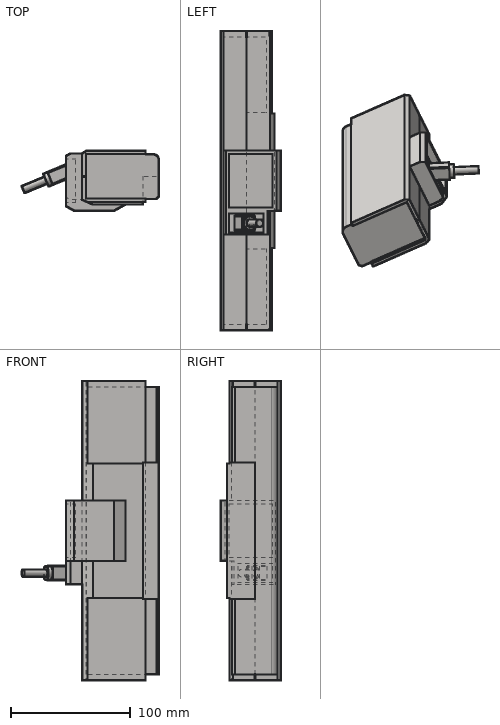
import cadquery as cq
import math


housing_height = 250.0
wall = 3.0
housing_back_y = 21.6
housing_front_y = -21.4
housing_open_x = 52.9
back_chamfer_x = 3.6
back_chamfer_y = 2.3
front_chamfer_start_y = -19.5
front_chamfer_slope = 0.45
seam_gap = 0.4

core_height = 240.0
core_end_x = 64.0
core_back_y = housing_back_y - wall
core_front_y = -19.0
core_back_radius = 5.0
core_front_chamfer = 2.2

panel_height = 112.4
panel_front_y = -23.5
panel_end_x = 50.6
notch_height = 114.0
notch_floor_y = 0.0

bracket_height = 50.5
bracket_x = -13.6
bracket_back_y = 19.3
bracket_front_y = -28.7
bracket_back_chamfer_x = 4.0
bracket_back_chamfer_y = 2.1
bracket_front_chamfer_x = 6.9
bracket_front_chamfer_y = 3.8
bracket_lip_x = 26.6
bracket_lip_foot_x = 36.1
window_back_y = 14.4
window_front_y = -21.8
window_height = 44.4
window_depth = 8.0

outlet_bottom_z = -44.9
outlet_front_y = -19.2
outlet_chamfer_x = 3.9
outlet_chamfer_y = 1.6
inlay_back_y = 14.4
inlay_front_y = -14.3
inlay_height = 15.9
inlay_depth = 0.3

cable_angle = 22.5
cable_z = -35.4
cable_exit_y = 3.8
plug_width = 11.6
plug_height = 12.6
plug_edge_chamfer = 0.8
plug_length = 14.3
plug_embed = 1.0
collar_diameter = 11.6
collar_length = 3.8
cable_diameter = 6.4
cable_tip_x = -50.6


def prism(points, bottom_z, top_z):
    """Extrude a closed XY outline between two heights."""
    return cq.Workplane("XY").workplane(offset=bottom_z).polyline(points).close().extrude(top_z - bottom_z)


def centred_prism(points, height):
    return prism(points, -height / 2, height / 2)


def box(x_range, y_range, z_range):
    (x0, x1), (y0, y1), (z0, z1) = x_range, y_range, z_range
    return prism([(x0, y0), (x1, y0), (x1, y1), (x0, y1)], z0, z1)


def front_chamfer_end_x(front_y):
    """X at which the sloping -X / -Y corner face reaches a given front face."""
    return (front_chamfer_start_y - front_y) / front_chamfer_slope


def make_core():
    core = box((wall, core_end_x), (core_front_y, core_back_y), (-core_height / 2, core_height / 2))
    core = core.edges("|Z and >X and >Y").fillet(core_back_radius)
    return core.edges("|Z and >X and <Y").chamfer(core_front_chamfer)


def make_housing():
    shell = centred_prism(
        [
            (0, front_chamfer_start_y),
            (front_chamfer_end_x(housing_front_y), housing_front_y),
            (housing_open_x, housing_front_y),
            (housing_open_x, housing_back_y),
            (back_chamfer_x, housing_back_y),
            (0, housing_back_y - back_chamfer_y),
        ],
        housing_height,
    )
    cavity = box(
        (wall, core_end_x),
        (housing_front_y + wall, core_back_y),
        (-housing_height / 2, housing_height / 2),
    )
    seam = box((0, wall), (-seam_gap / 2, seam_gap / 2), (-housing_height / 2, housing_height / 2))
    return shell.cut(cavity).cut(seam)


def make_panel():
    return centred_prism(
        [
            (0, front_chamfer_start_y),
            (front_chamfer_end_x(panel_front_y), panel_front_y),
            (panel_end_x, panel_front_y),
            (panel_end_x, front_chamfer_start_y),
        ],
        panel_height,
    )


def make_notch():
    return box((panel_end_x, core_end_x), (panel_front_y, notch_floor_y), (-notch_height / 2, notch_height / 2))


def make_bracket():
    bracket = centred_prism(
        [
            (0, bracket_back_y),
            (bracket_x + bracket_back_chamfer_x, bracket_back_y),
            (bracket_x, bracket_back_y - bracket_back_chamfer_y),
            (bracket_x, bracket_front_y + bracket_front_chamfer_y),
            (bracket_x + bracket_front_chamfer_x, bracket_front_y),
            (bracket_lip_x, bracket_front_y),
            (bracket_lip_foot_x, panel_front_y),
            (front_chamfer_end_x(panel_front_y), panel_front_y),
            (0, front_chamfer_start_y),
        ],
        bracket_height,
    )
    window = box(
        (bracket_x, bracket_x + window_depth),
        (window_front_y, window_back_y),
        (-window_height / 2, window_height / 2),
    )
    return bracket.cut(window)


def make_outlet():
    outlet = prism(
        [
            (0, bracket_back_y),
            (bracket_x + bracket_back_chamfer_x, bracket_back_y),
            (bracket_x, bracket_back_y - bracket_back_chamfer_y),
            (bracket_x, outlet_front_y + outlet_chamfer_y),
            (bracket_x + outlet_chamfer_x, outlet_front_y),
            (0, outlet_front_y),
        ],
        outlet_bottom_z,
        -bracket_height / 2,
    )
    inlay = box(
        (bracket_x, bracket_x + inlay_depth),
        (inlay_front_y, inlay_back_y),
        (cable_z - inlay_height / 2, cable_z + inlay_height / 2),
    )
    return outlet.cut(inlay)


def make_connector():
    angle = math.radians(cable_angle)
    direction = cq.Vector(-math.cos(angle), -math.sin(angle), 0)
    exit_point = cq.Vector(bracket_x, cable_exit_y, cable_z)
    tip_centre_x = cable_tip_x + cable_diameter / 2 * math.sin(angle)
    cable_length = (bracket_x - tip_centre_x) / math.cos(angle)
    root = plug_width / 2 * math.tan(angle) + inlay_depth + plug_embed

    def section(start):
        plane = cq.Plane(origin=exit_point + direction * start, xDir=(0, 0, 1), normal=direction)
        return cq.Workplane(plane)

    plug = section(-root).rect(plug_height, plug_width).extrude(root + plug_length)
    along = cq.selectors.ParallelDirSelector(direction)
    plug = plug.edges(along).chamfer(plug_edge_chamfer)
    collar = section(plug_length).circle(collar_diameter / 2).extrude(collar_length)
    cable = section(0).circle(cable_diameter / 2).extrude(cable_length)
    return plug.union(collar).union(cable)


body = make_core().union(make_housing()).union(make_panel()).cut(make_notch())
result = body.union(make_bracket()).union(make_outlet()).union(make_connector())